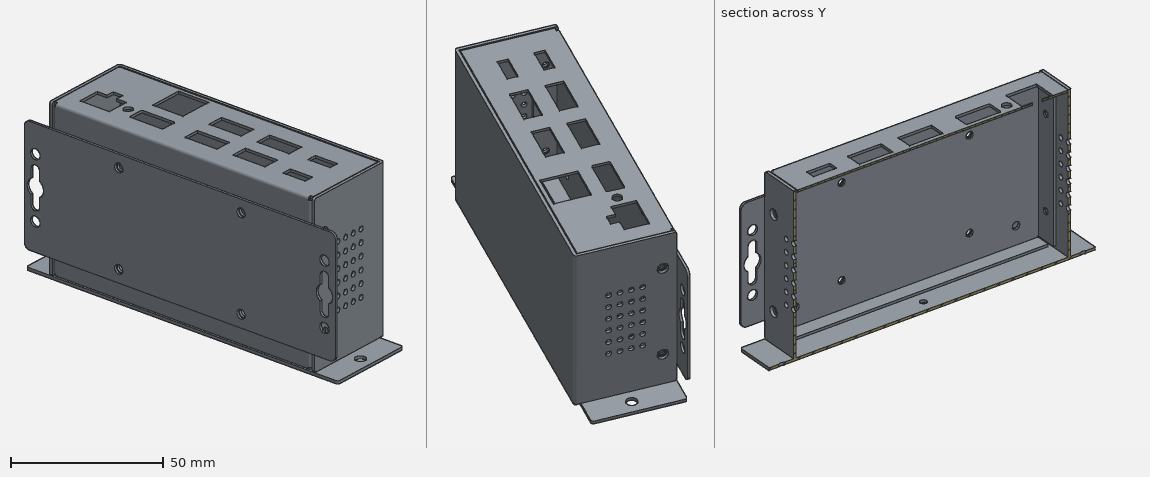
import cadquery as cq


overall_width = 132.9
overall_height = 65.0
box_width = 113.0
box_depth = 36.0

sheet = 1.2
bend_radius = 1.2
panel_corner_radius = 0.9
wall_hole_diameter = 4.0

ear_depth = 33.6
ear_hole_spacing = 122.8
ear_hole_y = 17.7
vent_diameter = 2.0
vent_columns = 4
vent_rows = 6
vent_column_pitch = 4.0
vent_rows_height = 25.1
vent_first_y = 12.0
vent_first_z = 19.7
side_screw_y = 4.9
side_screw_heights = (13.8, 50.8)
bottom_hole_diameter = 2.5
bottom_hole_x = 0.1
bottom_hole_depths = (11.3, 20.9)

chassis_sheet = 1.0
chassis_bend_radius = 1.2
chassis_width = 110.2
back_gap = 0.4
top_gap = 0.1
chassis_top = overall_height - top_gap
chassis_x = (chassis_width - box_width) / 2 + sheet
chassis_depth = box_depth - sheet - back_gap
side_flange_depth = 9.3
bottom_lip_depth = 6.6
plate_thread_diameter = 2.8
side_thread_diameter = 2.5
side_recess_diameter = 3.0
side_recess_depth = 0.3
front_hole_diameter = 3.0
front_hole_spacing = 89.8
front_hole_z = 9.6

socket_x, socket_y = -22.3, 26.3
socket_width, socket_depth = 12.9, 13.4
network_x, network_y = -42.9, 11.3
network_width, network_depth = 12.5, 8.9
latch_width, latch_depth = 4.1, 3.2
button_x, button_y = -33.1, 12.2
button_diameter = 3.5
display_x = -22.0
display_width = 14.2
display_corner_radius = 0.7
port_depth = 6.5
usb_columns = (1.3, 21.8)
usb_width = 13.7
port_front_y, port_rear_y = 11.3, 23.8
small_port_x = 40.8
small_port_width, small_port_depth = 9.5, 3.9
small_port_rows = (10.2, 23.1)

plate_width = 132.5
plate_height = 47.3
plate_thickness = 0.9
plate_z = 31.9
plate_corner_radius = 2.3
plate_screw_diameter = 3.5
plate_screw_x_spacing = 52.1
plate_screw_z_spacing = 37.2
plate_hole_x_spacing = 123.2
plate_hole_z_spacing = 24.7
keyhole_diameter = 6.9
keyhole_slot_width = 3.6
keyhole_slot_length = 16.9


def block(x_range, y_range, z_range):
    """Box between the given limits along each axis."""
    sizes = [high - low for low, high in (x_range, y_range, z_range)]
    corner = (x_range[0], y_range[0], z_range[0])
    return cq.Workplane("XY").box(*sizes, centered=False).translate(corner)


def rod_x(diameter, points):
    """Cylinders along X through the whole enclosure, at (y, z) points."""
    return cq.Workplane("YZ").pushPoints(points).circle(diameter / 2).extrude(overall_width / 2, both=True)


def rod_y(diameter, points, depth):
    """Cylinders along Y from -depth to +depth, at (x, z) points."""
    return cq.Workplane("XZ").pushPoints(points).circle(diameter / 2).extrude(depth, both=True)


def rod_z(diameter, points, z_range):
    """Cylinders along Z between two heights, at (x, y) points."""
    base = cq.Workplane("XY").workplane(offset=z_range[0])
    return base.pushPoints(points).circle(diameter / 2).extrude(z_range[1] - z_range[0])


def rectangle_points(center_x, center_z, x_spacing, z_spacing):
    """Four corner points of a rectangle in the XZ plane."""
    return [
        (center_x + i * x_spacing / 2, center_z + k * z_spacing / 2)
        for i in (-1, 1)
        for k in (-1, 1)
    ]


def pair(center, spacing):
    """Two values placed evenly about a center."""
    return (center - spacing / 2, center + spacing / 2)


side_screw_points = [(side_screw_y, z) for z in side_screw_heights]


def make_cover():
    """Back, two sides and a bottom with ears, bent from one sheet."""
    outer_x = pair(0, box_width)
    inner_x = pair(0, box_width - 2 * sheet)
    inner_back = box_depth - sheet

    walls = block(outer_x, (0, box_depth), (sheet, overall_height))
    walls = walls.edges("|Z and >Y").fillet(bend_radius)
    walls = walls.edges("|X and <Y").fillet(panel_corner_radius)

    bend = block(pair(0, box_width - 2 * bend_radius), (ear_depth, box_depth), (0, 2 * sheet))
    bend = bend.edges(">Y and <Z").fillet(bend_radius)
    shell = walls.union(bend).cut(block(inner_x, (0, inner_back), (sheet, overall_height)))

    bottom = block(pair(0, overall_width), (0, ear_depth), (0, sheet))
    bottom = bottom.edges("|Z").fillet(panel_corner_radius)

    ear_points = [(x, ear_hole_y) for x in pair(0, ear_hole_spacing)]
    bottom_points = [(bottom_hole_x, y) for y in bottom_hole_depths]
    row_pitch = vent_rows_height / (vent_rows - 1)
    vent_points = [
        (vent_first_y + column * vent_column_pitch, vent_first_z + row * row_pitch)
        for column in range(vent_columns)
        for row in range(vent_rows)
    ]
    return (
        shell.union(bottom)
        .cut(rod_z(wall_hole_diameter, ear_points, (0, sheet)))
        .cut(rod_z(bottom_hole_diameter, bottom_points, (0, sheet)))
        .cut(rod_x(vent_diameter, vent_points))
        .cut(rod_x(wall_hole_diameter, side_screw_points))
    )


def make_port_cutters():
    """Tools that pierce the top sheet, one for each connector."""
    z_range = (chassis_top - chassis_sheet, chassis_top)

    def opening(x, y, width, depth):
        return block(pair(x, width), pair(y, depth), z_range)

    network_back = network_y + network_depth / 2
    display = opening(display_x, port_front_y, display_width, port_depth)
    cutters = [
        opening(socket_x, socket_y, socket_width, socket_depth),
        opening(network_x, network_y, network_width, network_depth),
        opening(network_x, network_back + latch_depth / 2, latch_width, latch_depth),
        rod_z(button_diameter, [(button_x, button_y)], z_range),
        display.edges("|Z").fillet(display_corner_radius),
    ]
    for x in usb_columns:
        for y in (port_front_y, port_rear_y):
            cutters.append(opening(x, y, usb_width, port_depth))
    for y in small_port_rows:
        cutters.append(opening(small_port_x, y, small_port_width, small_port_depth))
    return cutters


def make_chassis():
    """Front and top with side flanges and a bottom lip; the corners between bends are cut away."""
    full_x = pair(chassis_x, chassis_width)
    strip_x = pair(chassis_x, chassis_width - 2 * chassis_bend_radius)
    inner_x = pair(chassis_x, chassis_width - 2 * chassis_sheet)
    base_z = sheet
    inner_z = (base_z + chassis_sheet, chassis_top - chassis_sheet)
    flange_z = (base_z + chassis_bend_radius, chassis_top - chassis_bend_radius)

    strip = block(strip_x, (0, chassis_depth), (base_z, chassis_top))
    strip = strip.edges("|X and <Y").fillet(chassis_bend_radius)
    strip = strip.cut(block(strip_x, (chassis_sheet, chassis_depth), inner_z))
    strip = strip.cut(block(strip_x, (bottom_lip_depth, chassis_depth), (base_z, inner_z[0])))
    top = block(full_x, (chassis_bend_radius, chassis_depth), (inner_z[1], chassis_top))

    flanges = block(full_x, (0, side_flange_depth), flange_z)
    flanges = flanges.edges("|Z and <Y").fillet(chassis_bend_radius)
    flanges = flanges.cut(block(inner_x, (chassis_sheet, side_flange_depth), flange_z))

    chassis = strip.union(top).union(flanges)
    for cutter in make_port_cutters():
        chassis = chassis.cut(cutter)

    plate_screws = rectangle_points(chassis_x, plate_z, plate_screw_x_spacing, plate_screw_z_spacing)
    front_points = [(x, front_hole_z) for x in pair(chassis_x, front_hole_spacing)]

    recess_reach = chassis_width / 2 - side_recess_depth
    flange_faces = block(pair(chassis_x, 2 * recess_reach), (0, chassis_depth), (base_z, chassis_top))
    side_recesses = rod_x(side_recess_diameter, side_screw_points).cut(flange_faces)
    return (
        chassis.cut(rod_y(plate_thread_diameter, plate_screws, chassis_sheet))
        .cut(rod_y(front_hole_diameter, front_points, chassis_sheet))
        .cut(rod_x(side_thread_diameter, side_screw_points))
        .cut(side_recesses)
    )


def make_mounting_plate():
    """Flat plate on the chassis front, with round holes and keyhole slots at both ends."""
    plate = block(pair(chassis_x, plate_width), (-plate_thickness, 0), pair(plate_z, plate_height))
    plate = plate.edges("|Y").fillet(plate_corner_radius)

    screws = rectangle_points(chassis_x, plate_z, plate_screw_x_spacing, plate_screw_z_spacing)
    corner_holes = rectangle_points(chassis_x, plate_z, plate_hole_x_spacing, plate_hole_z_spacing)
    keyholes = [(x, plate_z) for x in pair(chassis_x, plate_hole_x_spacing)]
    slots = (
        cq.Workplane("XZ")
        .pushPoints(keyholes)
        .slot2D(keyhole_slot_length, keyhole_slot_width, 90)
        .extrude(plate_thickness)
    )
    return (
        plate.cut(rod_y(plate_screw_diameter, screws, plate_thickness))
        .cut(rod_y(wall_hole_diameter, corner_holes, plate_thickness))
        .cut(rod_y(keyhole_diameter, keyholes, plate_thickness))
        .cut(slots)
    )


cover = make_cover().solids()
chassis = make_chassis().solids()
mounting_plate = make_mounting_plate().solids()

result = cq.Compound.makeCompound([cover.val(), chassis.val(), mounting_plate.val()])